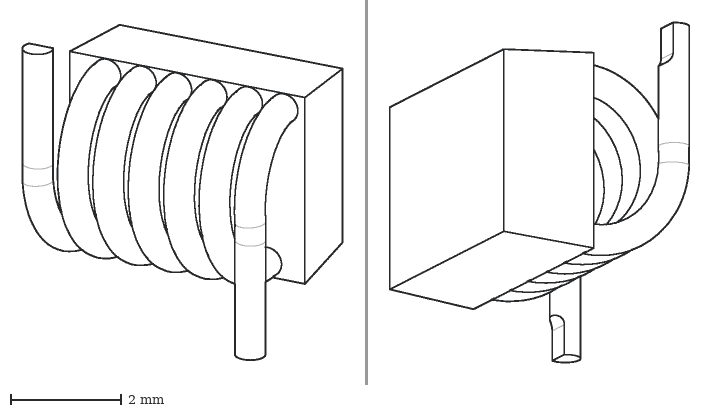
import cadquery as cq
import math

overall_width = 4.88
wire_radius = 0.28
turns = 6
coil_radius = 1.56
coil_outer_radius = coil_radius + wire_radius
lead_x = overall_width / 2 - wire_radius
coil_length = 2 * lead_x
pitch = coil_length / turns
advance = pitch / (2 * math.pi * coil_radius)

lead_tip_z = 2.605
bend_height = 0.35
flat_depth = wire_radius / 2
flat_runout_radius = 0.21

cap_width = 4.785
cap_height = 2 * coil_outer_radius
cap_front_y = 0.195
cap_depth = 1.775
cap_draft = 4.0


def make_coil():
    """Helix that starts at the front of the coil and first runs downward."""
    coil_plane = cq.Plane(origin=(-lead_x, 0, 0), xDir=(0, -1, 0), normal=(1, 0, 0))
    path = cq.Wire.makeHelix(pitch, coil_length, coil_radius).moved(cq.Location(coil_plane))
    start_plane = cq.Plane(
        origin=(-lead_x, -coil_radius, 0), xDir=(0, -1, 0), normal=(advance, 0, -1)
    )
    return cq.Workplane(start_plane).circle(wire_radius).sweep(cq.Workplane(path), isFrenet=True)


def make_bend():
    """Short bend that turns the helix direction into the vertical left lead."""
    coil_end = cq.Vector(-lead_x, -coil_radius, 0)
    lead_end = cq.Vector(-lead_x, -coil_radius, bend_height)
    path = cq.Edge.makeSpline(
        [lead_end, coil_end], tangents=[cq.Vector(0, 0, -1), cq.Vector(advance, 0, -1)]
    )
    return (
        cq.Workplane("XY", origin=lead_end.toTuple())
        .circle(wire_radius)
        .sweep(cq.Workplane(cq.Wire.assembleEdges([path])))
    )


def make_lead():
    """Left lead, running up from its bend, with a flat on the back of its tip."""
    lead = (
        cq.Workplane("XY", origin=(-lead_x, -coil_radius, bend_height))
        .circle(wire_radius)
        .extrude(lead_tip_z - bend_height)
    )
    back_y = wire_radius - coil_radius
    flat_y = back_y - flat_depth
    runout_angle = math.acos(1 - flat_depth / flat_runout_radius)
    runout_top_z = coil_outer_radius + flat_runout_radius * math.sin(runout_angle)
    half_angle = runout_angle / 2
    runout_middle = (
        flat_y + flat_runout_radius * (1 - math.cos(half_angle)),
        runout_top_z - flat_runout_radius * math.sin(half_angle),
    )
    flat_cutter = (
        cq.Workplane("YZ", origin=(-lead_x, 0, 0))
        .moveTo(back_y, coil_outer_radius)
        .threePointArc(runout_middle, (flat_y, runout_top_z))
        .lineTo(flat_y, lead_tip_z)
        .lineTo(back_y, lead_tip_z)
        .close()
        .extrude(wire_radius, both=True)
    )
    return lead.cut(flat_cutter)


def make_winding():
    """One continuous wire: the coil with a bend and a lead at each end."""
    left_end = make_lead().union(make_bend())
    right_end = left_end.rotate((0, 0, 0), (0, 1, 0), 180)
    return make_coil().union(left_end).union(right_end)


def make_cap(winding):
    """Tapered block with a helical channel that matches the winding."""
    return (
        cq.Workplane("XZ", origin=(0, cap_front_y, 0))
        .rect(cap_width, cap_height)
        .extrude(-cap_depth, taper=cap_draft)
        .cut(winding)
    )


winding = make_winding()
cap = make_cap(winding)
result = cq.Compound.makeCompound([winding.solids().val(), cap.solids().val()])